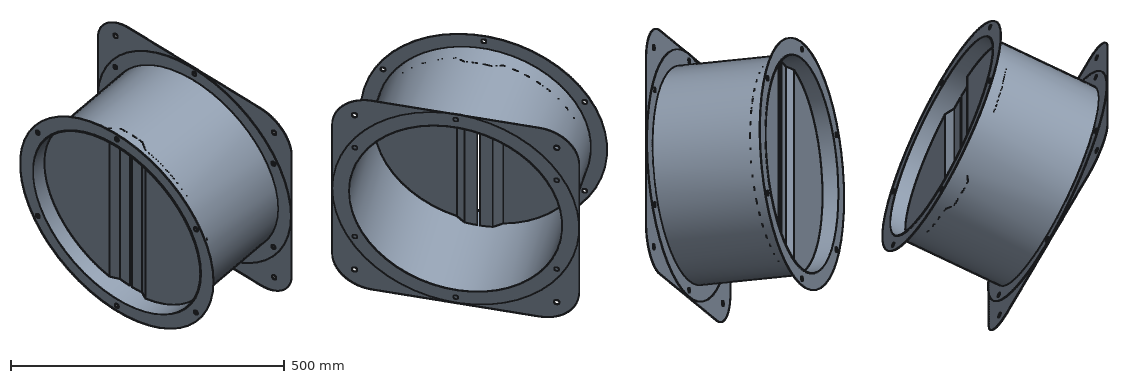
import cadquery as cq
import math

plate_side = 465.0
total_depth = 222.0
sheet = 1.5
flap_sheet = 1.0

plate_corner_radius = 75.0
plate_hole_offset = 190.0
plate_hole_diameter = 10.0

bore_radius = 200.5
duct_radius = bore_radius + sheet
flange_radius = 232.0
flange_hole_circle_radius = 219.0
flange_hole_diameter = 9.5
flange_hole_count = 6
duct_length = total_depth - sheet

flap_radius = 199.5
centre_gap = 5.0
strip_edge_x = 26.5
panel_edge_x = 43.2
strip_front_y = 40.5
step_angle = 31.0
step_depth = (panel_edge_x - strip_edge_x) * math.tan(math.radians(step_angle))
panel_front_y = strip_front_y - step_depth


def disc(radius, front_y, thickness):
    """Solid disc about the Y axis, from front_y towards +Y."""
    return cq.Workplane("XZ", origin=(0, front_y, 0)).circle(radius).extrude(-thickness)


def make_duct():
    """Open tube with a drilled flange at each end."""
    duct = disc(duct_radius, 0, duct_length)
    for front_y in (0, duct_length - sheet):
        duct = duct.union(disc(flange_radius, front_y, sheet))
    duct = duct.cut(disc(bore_radius, 0, duct_length))
    holes = (
        cq.Workplane("XZ")
        .polarArray(flange_hole_circle_radius, 90, 360, flange_hole_count)
        .circle(flange_hole_diameter / 2)
        .extrude(-duct_length)
    )
    return duct.cut(holes)


def make_plate():
    """Rounded square plate behind the rear flange, open to the bore."""
    plate = (
        cq.Workplane("XZ", origin=(0, duct_length, 0))
        .rect(plate_side, plate_side)
        .extrude(-sheet)
        .edges("|Y")
        .fillet(plate_corner_radius)
    )
    corner_holes = (
        cq.Workplane("XZ", origin=(0, duct_length, 0))
        .rect(2 * plate_hole_offset, 2 * plate_hole_offset, forConstruction=True)
        .vertices()
        .circle(plate_hole_diameter / 2)
        .extrude(-sheet)
    )
    return plate.cut(disc(bore_radius, duct_length, sheet)).cut(corner_holes)


def make_flap(side):
    """Stepped sheet trimmed to a round edge; side is -1 for -X and 1 for +X."""
    bend_shift = flap_sheet * math.tan(math.radians(step_angle / 2))
    profile = [
        (centre_gap / 2, strip_front_y),
        (strip_edge_x, strip_front_y),
        (panel_edge_x, panel_front_y),
        (flap_radius, panel_front_y),
        (flap_radius, panel_front_y + flap_sheet),
        (panel_edge_x + bend_shift, panel_front_y + flap_sheet),
        (strip_edge_x + bend_shift, strip_front_y + flap_sheet),
        (centre_gap / 2, strip_front_y + flap_sheet),
    ]
    folded_sheet = (
        cq.Workplane("XY")
        .polyline([(side * x, y) for x, y in profile])
        .close()
        .extrude(flap_radius, both=True)
    )
    return folded_sheet.intersect(disc(flap_radius, 0, duct_length))


duct = make_duct()
plate = make_plate()
flaps = [make_flap(side) for side in (-1, 1)]

result = cq.Compound.makeCompound([duct.val(), plate.val(), *[flap.val() for flap in flaps]])